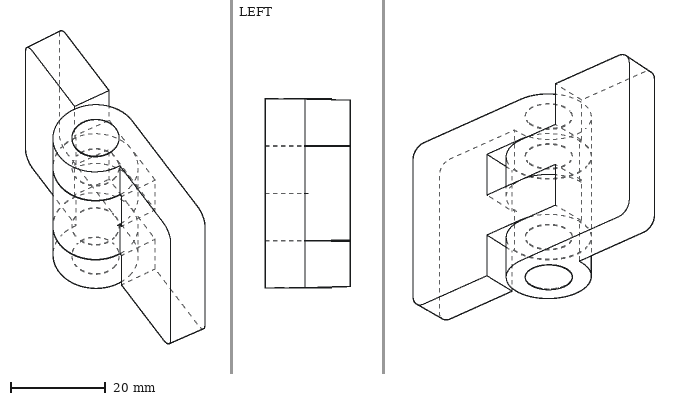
import cadquery as cq
import math

length = 60.0
height = 40.0
barrel_radius = 9.0
leaf_thickness = 8.4
corner_radius = 3.0
pin_radius = 5.0
draft_angle = 1.0
barrel_clearance = 0.5
knuckle_gap = 0.2

half_length = length / 2
half_height = height / 2
quarter_height = height / 4
back_y = barrel_radius
front_y = back_y - leaf_thickness
barrel_depth = 2 * barrel_radius
inner_edge_x = barrel_radius + barrel_clearance
leaf_draft = leaf_thickness * math.tan(math.radians(draft_angle))
outer_knuckle_end = quarter_height + knuckle_gap / 2
inner_knuckle_end = quarter_height - knuckle_gap / 2
envelope_draft = barrel_depth * math.tan(math.radians(draft_angle))


def make_envelope():
    """Block around both leaves, narrowing on all sides from back to front."""
    return (
        cq.Workplane("XZ", origin=(0, back_y, 0))
        .rect(length, height)
        .workplane(offset=barrel_depth)
        .rect(length - 2 * envelope_draft, height - 2 * envelope_draft)
        .loft(ruled=True)
        .faces("not(|Y)").edges("not(|X or |Z)")
        .fillet(corner_radius)
    )


def make_plate():
    """Right-hand leaf without knuckles, its inner edge drafted."""
    return (
        cq.Workplane("XY", origin=(0, 0, -half_height))
        .moveTo(inner_edge_x, back_y)
        .lineTo(half_length, back_y)
        .lineTo(half_length, front_y)
        .lineTo(inner_edge_x + leaf_draft, front_y)
        .close()
        .extrude(height)
    )


def make_web(bottom, top):
    """Tangent web joining a barrel to the right-hand leaf."""
    web_end_x = inner_edge_x + leaf_draft
    return (
        cq.Workplane("XY", origin=(0, 0, bottom))
        .lineTo(barrel_radius, 0)
        .lineTo(barrel_radius, front_y)
        .lineTo(web_end_x, front_y)
        .lineTo(web_end_x, back_y)
        .lineTo(0, back_y)
        .close()
        .extrude(top - bottom)
    )


def make_cylinder(radius, bottom, top):
    """Cylinder on the pin axis."""
    return cq.Workplane("XY", origin=(0, 0, bottom)).circle(radius).extrude(top - bottom)


def make_leaf():
    """Right-hand leaf with the webs of its outer (top) and inner knuckles."""
    outer_web = make_web(outer_knuckle_end, half_height)
    inner_web = make_web(-inner_knuckle_end, 0)
    return make_plate().union(outer_web).union(inner_web)


right_leaf = make_leaf()
left_leaf = right_leaf.rotate((0, 0, 0), (0, 1, 0), 180)

middle_barrel = make_cylinder(barrel_radius, -inner_knuckle_end, inner_knuckle_end)
top_barrel = make_cylinder(barrel_radius, outer_knuckle_end, half_height)
bottom_barrel = make_cylinder(barrel_radius, -half_height, -outer_knuckle_end)

pin = make_cylinder(pin_radius, -half_height, half_height)

body = right_leaf.union(left_leaf)
for barrel in (middle_barrel, top_barrel, bottom_barrel):
    body = body.union(barrel)
result = body.intersect(make_envelope()).union(pin).clean()